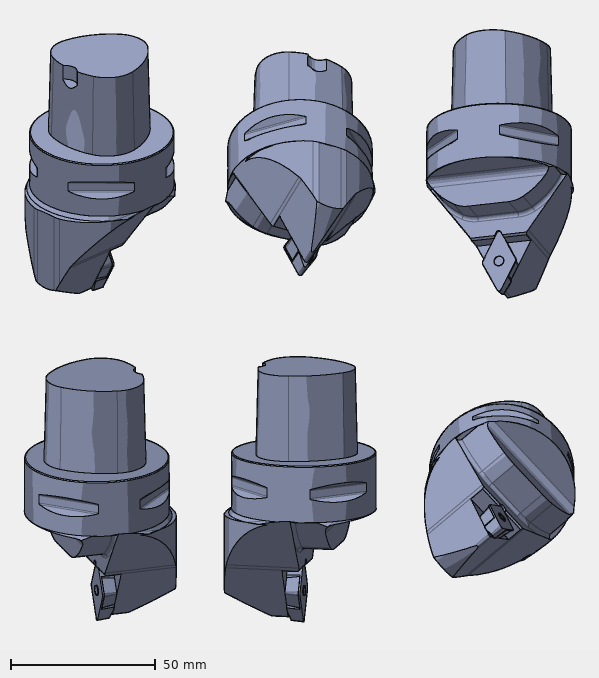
import cadquery as cq
import math


SHANK_LENGTH = 30.0
LOBE_REACH = 18.7
FLAT_REACH = 16.3
LOBE_RADIUS = 11.7
SHANK_TAPER = 0.75
KEYWAY_RADIUS = 4.4
KEYWAY_DISTANCE = 18.1
KEYWAY_DEPTH = 5.3

FLANGE_RADIUS = 25.0
FLANGE_HEIGHT = 20.0
FLANGE_CHAMFER = 0.4
GROOVE_LEVEL = -10.0
GROOVE_FLOOR_DISTANCE = 22.2
GROOVE_FLOOR_WIDTH = 3.4
GROOVE_WALL_ANGLE = 30
GROOVE_FILLET = 0.5
GROOVE_OVERRUN = 0.9

COLLAR_RADIUS = 26.0
COLLAR_BOTTOM = -21.4
SHOULDER_DROP = 0.6
SHOULDER_RADIUS = 27.9

HEAD_BOTTOM = -60.0
SIDE_HALF_WIDTH = 25.2
SIDE_LEVEL = -19.35
SIDE_ANGLE = 36.5
BEND_LEVEL = -39.4
BEND_FILLET = 9.0
POINT_ANGLE = 27.5
POINT_RADIUS = 0.7
NOSE_RADIUS = 24.0
NOSE_CENTRE_Y = -3.6
NOSE_FRONT_Y = -27.1
NOSE_EDGE_FILLET = 8.55
NOSE_BACK_Y = 0.7
SEAT_Y = -5.5
SEAT_TOP = -40.3
SEAT_EDGE_CHAMFER = 0.7
RELIEF_START_Y = -11.0
RELIEF_START_Z = -58.5
RELIEF_ANGLE = 25.1
RELIEF_RADIUS = 12.6

BLOCK_BACK_Y = 12.3
BLOCK_BOTTOM = -32.3
BLOCK_SIDE_RADIUS = 25.8
BLOCK_SIDE_CENTRE_Z = -8.4
BLOCK_BOTTOM_FILLET = 10.8
BLOCK_FILLET = 3.0
BLOCK_ROOT_FILLET = 1.4
UNDERSIDE_ANGLE = 5.5

INSERT_HALF_LENGTH = 11.1
INSERT_CENTRE_Z = HEAD_BOTTOM + INSERT_HALF_LENGTH
INSERT_NOSE_RADIUS = 0.8
INSERT_SIDE_RADIUS = 1.4
INSERT_CLEARANCE = 4
INSERT_TIP_BEVEL_START = 6.9
INSERT_TIP_BEVEL_ANGLE = 16.5
INSERT_BOSS_DIAMETER = 3.5
INSERT_BOSS_HEIGHT = 0.3
RECESS_INSET = 0.2
RECESS_CLEARANCE = 7
RECESS_LAND = 0.675
RECESS_END_X = 3.1
RECESS_SEAT_X = 2.8

SPAN = 72.0


def polar(radius, angle):
    return (radius * math.cos(math.radians(angle)), radius * math.sin(math.radians(angle)))


def shank_outline(plane, inset):
    """Six tangent arcs: three lobes joined by three flat sides."""
    centre = LOBE_REACH - LOBE_RADIUS
    gap = FLAT_REACH - LOBE_RADIUS
    flat_centre = (centre ** 2 - gap ** 2) / (2 * gap - centre)
    flat_radius = FLAT_REACH + flat_centre
    flat_x, flat_y = polar(flat_centre, 240)
    joint_direction = math.atan2(-flat_y, centre - flat_x)
    joint_x = flat_x + (flat_radius - inset) * math.cos(joint_direction)
    joint_y = flat_y + (flat_radius - inset) * math.sin(joint_direction)
    joint_reach = math.hypot(joint_x, joint_y)
    joint_angle = math.degrees(math.atan2(joint_y, joint_x))

    outline = plane.moveTo(*polar(joint_reach, 90 - joint_angle))
    for lobe in (90, 210, 330):
        outline = outline.threePointArc(
            polar(LOBE_REACH - inset, lobe), polar(joint_reach, lobe + joint_angle)
        ).threePointArc(
            polar(FLAT_REACH - inset, lobe + 60), polar(joint_reach, lobe + 120 - joint_angle)
        )
    return outline.close()


def make_shank():
    base = shank_outline(cq.Workplane("XY"), 0)
    top = shank_outline(base.workplane(offset=SHANK_LENGTH), SHANK_TAPER)
    shank = top.loft(ruled=True, combine=True)
    keyway = (
        cq.Workplane("XZ")
        .moveTo(0, SHANK_LENGTH)
        .lineTo(KEYWAY_RADIUS, SHANK_LENGTH)
        .lineTo(KEYWAY_RADIUS, SHANK_LENGTH - KEYWAY_DEPTH)
        .lineTo(0, SHANK_LENGTH - KEYWAY_DEPTH - KEYWAY_RADIUS)
        .close()
        .revolve(360, (0, 0), (0, 1))
        .translate((0, -KEYWAY_DISTANCE, 0))
    )
    return shank.cut(keyway)


def make_groove():
    """Gripper groove across the +X side of the flange."""
    outer = FLANGE_RADIUS + GROOVE_OVERRUN
    floor_half = GROOVE_FLOOR_WIDTH / 2
    flare = (outer - GROOVE_FLOOR_DISTANCE) * math.tan(math.radians(GROOVE_WALL_ANGLE))
    return (
        cq.Workplane("XZ")
        .moveTo(GROOVE_FLOOR_DISTANCE, GROOVE_LEVEL - floor_half)
        .lineTo(outer, GROOVE_LEVEL - floor_half - flare)
        .lineTo(outer, GROOVE_LEVEL + floor_half + flare)
        .lineTo(GROOVE_FLOOR_DISTANCE, GROOVE_LEVEL + floor_half)
        .close()
        .extrude(SPAN / 2, both=True)
        .edges("<X")
        .fillet(GROOVE_FILLET)
    )


def make_flange():
    flange = (
        cq.Workplane("XY")
        .circle(FLANGE_RADIUS)
        .extrude(-FLANGE_HEIGHT)
        .faces(">Z")
        .chamfer(FLANGE_CHAMFER)
    )
    for angle in (45, 135, 225, 315):
        flange = flange.cut(make_groove().rotate((0, 0, 0), (0, 0, 1), angle))
    return flange


def revolved(points):
    return cq.Workplane("XZ").polyline(points).close().revolve(360, (0, 0), (0, 1))


def make_collar():
    """Flared ring in front of the nose back face."""
    ring = revolved([
        (0, -FLANGE_HEIGHT), (FLANGE_RADIUS, -FLANGE_HEIGHT),
        (COLLAR_RADIUS, COLLAR_BOTTOM), (0, COLLAR_BOTTOM),
    ])
    front = cq.Workplane("XY").box(SPAN, SPAN, SPAN).translate((0, NOSE_BACK_Y - SPAN / 2, 0))
    return ring.intersect(front)


def make_head_envelope():
    """Everything under the flange lies below its flared collar and sloping shoulder."""
    return revolved([
        (0, -FLANGE_HEIGHT), (FLANGE_RADIUS, -FLANGE_HEIGHT),
        (COLLAR_RADIUS, COLLAR_BOTTOM), (SHOULDER_RADIUS, COLLAR_BOTTOM - SHOULDER_DROP),
        (SHOULDER_RADIUS, HEAD_BOTTOM), (0, HEAD_BOTTOM),
    ])


def make_side_envelope():
    """Prism along Y that narrows to the rounded 55 degree point."""
    slope = math.tan(math.radians(SIDE_ANGLE))
    bend_half = SIDE_HALF_WIDTH - (SIDE_LEVEL - BEND_LEVEL) * slope
    point = BEND_LEVEL - bend_half / math.tan(math.radians(POINT_ANGLE))
    top_half = SIDE_HALF_WIDTH - SIDE_LEVEL * slope
    prism = (
        cq.Workplane("XZ")
        .polyline([
            (-top_half, 0), (top_half, 0), (bend_half, BEND_LEVEL),
            (0, point), (-bend_half, BEND_LEVEL),
        ])
        .close()
        .extrude(SPAN / 2, both=True)
    )
    bends = cq.selectors.BoxSelector((-SPAN, -0.9, BEND_LEVEL - 0.9), (SPAN, 0.9, BEND_LEVEL + 0.9))
    return prism.edges(bends).fillet(BEND_FILLET).edges("<Z").fillet(POINT_RADIUS)


def make_nose():
    front_half = math.sqrt(NOSE_RADIUS ** 2 - (NOSE_FRONT_Y - NOSE_CENTRE_Y) ** 2)
    arc_x, arc_y = polar(NOSE_RADIUS, -45)
    body = (
        cq.Workplane("XY")
        .workplane(offset=-FLANGE_HEIGHT)
        .moveTo(-front_half, NOSE_FRONT_Y)
        .lineTo(front_half, NOSE_FRONT_Y)
        .threePointArc((arc_x, NOSE_CENTRE_Y + arc_y), (NOSE_RADIUS, NOSE_CENTRE_Y))
        .lineTo(NOSE_RADIUS, NOSE_BACK_Y)
        .lineTo(-NOSE_RADIUS, NOSE_BACK_Y)
        .lineTo(-NOSE_RADIUS, NOSE_CENTRE_Y)
        .threePointArc((-arc_x, NOSE_CENTRE_Y + arc_y), (-front_half, NOSE_FRONT_Y))
        .close()
        .extrude(HEAD_BOTTOM + FLANGE_HEIGHT)
        .faces("<Y")
        .edges("|Z")
        .fillet(NOSE_EDGE_FILLET)
    )
    seat_gap = (
        cq.Workplane("YZ")
        .moveTo(SEAT_Y, HEAD_BOTTOM)
        .lineTo(SEAT_Y, SEAT_TOP)
        .lineTo(NOSE_BACK_Y - SEAT_EDGE_CHAMFER, SEAT_TOP)
        .lineTo(NOSE_BACK_Y, SEAT_TOP + SEAT_EDGE_CHAMFER)
        .lineTo(NOSE_BACK_Y, HEAD_BOTTOM)
        .close()
        .extrude(SPAN / 2, both=True)
    )
    return body.cut(seat_gap).cut(make_relief_cutter()).intersect(make_head_envelope())


def make_relief_cutter():
    """Hollow-topped bar that leaves a rounded underside rising toward the nose front."""
    rise = math.radians(RELIEF_ANGLE)
    along = cq.Vector(0, -math.cos(rise), math.sin(rise))
    upward = cq.Vector(0, math.sin(rise), math.cos(rise))
    start = cq.Vector(0, RELIEF_START_Y, RELIEF_START_Z)
    plane = cq.Plane(start + (upward - along) * RELIEF_RADIUS, (1, 0, 0), along)
    return (
        cq.Workplane(plane)
        .moveTo(-RELIEF_RADIUS, 0)
        .threePointArc((0, -RELIEF_RADIUS), (RELIEF_RADIUS, 0))
        .lineTo(RELIEF_RADIUS, -2 * RELIEF_RADIUS)
        .lineTo(-RELIEF_RADIUS, -2 * RELIEF_RADIUS)
        .close()
        .extrude(SPAN)
    )


def make_rear_block():
    """Support block behind the nose, with the flange underside that runs out of it."""
    underside_slope = math.tan(math.radians(UNDERSIDE_ANGLE))
    underside_at_block = -FLANGE_HEIGHT - (FLANGE_RADIUS - BLOCK_BACK_Y) * underside_slope
    profile = (
        cq.Workplane("YZ")
        .moveTo(NOSE_BACK_Y, -FLANGE_HEIGHT)
        .lineTo(FLANGE_RADIUS, -FLANGE_HEIGHT)
        .lineTo(BLOCK_BACK_Y, underside_at_block)
        .lineTo(BLOCK_BACK_Y, BLOCK_BOTTOM)
        .lineTo(NOSE_BACK_Y, BLOCK_BOTTOM)
        .close()
        .extrude(SPAN / 2, both=True)
        .edges(cq.selectors.NearestToPointSelector((0, BLOCK_BACK_Y, underside_at_block)))
        .fillet(BLOCK_FILLET)
    )
    round_sides = (
        cq.Workplane("XZ")
        .center(0, BLOCK_SIDE_CENTRE_Z)
        .circle(BLOCK_SIDE_RADIUS)
        .extrude(SPAN / 2, both=True)
        .intersect(cq.Workplane("XY").box(SPAN, SPAN, -2 * BLOCK_BOTTOM))
        .faces("<Z")
        .edges("|Y")
        .fillet(BLOCK_BOTTOM_FILLET)
    )
    return profile.intersect(round_sides).intersect(make_head_envelope())


def insert_outline(inset):
    """Closed sharp rhombus, long axis along the local y, with its sides moved in by the inset."""
    half_angle = math.radians(POINT_ANGLE)
    sharp_half = INSERT_HALF_LENGTH + INSERT_NOSE_RADIUS * (1 / math.sin(half_angle) - 1)
    half_length = sharp_half - inset / math.sin(half_angle)
    half_width = half_length * math.tan(half_angle)
    corners = [(0, half_length), (half_width, 0), (0, -half_length), (-half_width, 0)]
    return corners + corners[:1]


def insert_prism(inset, bottom_y, top_y, taper=0):
    """Rhombic prism between two Y levels; a taper narrows it downward from top_y."""
    return (
        cq.Workplane("XZ", origin=(0, top_y, INSERT_CENTRE_Z))
        .sketch()
        .polygon(insert_outline(inset))
        .reset()
        .vertices("<X or >X")
        .fillet(INSERT_SIDE_RADIUS)
        .reset()
        .vertices("<Y or >Y")
        .fillet(INSERT_NOSE_RADIUS)
        .finalize()
        .extrude(top_y - bottom_y, taper=taper)
    )


def make_recess_cutter():
    """Material around the +X blunt corner, below the cutting edge land."""
    outer_x = INSERT_HALF_LENGTH
    zone = (
        cq.Workplane("XY", origin=(0, 0, INSERT_CENTRE_Z))
        .polyline([
            (RECESS_END_X, -RECESS_LAND), (outer_x, -RECESS_LAND),
            (outer_x, SEAT_Y), (RECESS_SEAT_X, SEAT_Y),
        ])
        .close()
        .extrude(INSERT_HALF_LENGTH, both=True)
    )
    return zone.cut(insert_prism(RECESS_INSET, SEAT_Y, 0, RECESS_CLEARANCE))


def make_insert():
    insert = insert_prism(0, SEAT_Y, 0, INSERT_CLEARANCE)
    recess = make_recess_cutter()
    insert = insert.cut(recess).cut(recess.mirror("YZ"))
    bevel_length = INSERT_HALF_LENGTH - INSERT_TIP_BEVEL_START
    bevel = (
        cq.Workplane("YZ", origin=(0, SEAT_Y, INSERT_CENTRE_Z))
        .moveTo(0, INSERT_TIP_BEVEL_START)
        .lineTo(0, INSERT_HALF_LENGTH)
        .lineTo(bevel_length * math.tan(math.radians(INSERT_TIP_BEVEL_ANGLE)), INSERT_HALF_LENGTH)
        .close()
        .extrude(SPAN / 2, both=True)
    )
    insert = insert.cut(bevel).cut(bevel.rotate((0, 0, INSERT_CENTRE_Z), (0, 1, INSERT_CENTRE_Z), 180))
    boss = (
        cq.Workplane("XZ", origin=(0, 0, INSERT_CENTRE_Z))
        .circle(INSERT_BOSS_DIAMETER / 2)
        .extrude(-INSERT_BOSS_HEIGHT)
    )
    return insert.union(boss)


def make_holder(insert):
    head = make_flange().union(make_collar()).union(make_nose()).union(make_rear_block())
    root = cq.selectors.NearestToPointSelector((0, NOSE_BACK_Y, BLOCK_BOTTOM))
    head = head.edges(root).fillet(BLOCK_ROOT_FILLET)
    head = head.intersect(make_side_envelope())
    pocket_opening = insert_prism(0, 0, NOSE_BACK_Y)
    return head.union(make_shank()).cut(insert).cut(pocket_opening)


insert = make_insert()
holder = make_holder(insert)

result = cq.Compound.makeCompound([holder.val(), insert.val()])